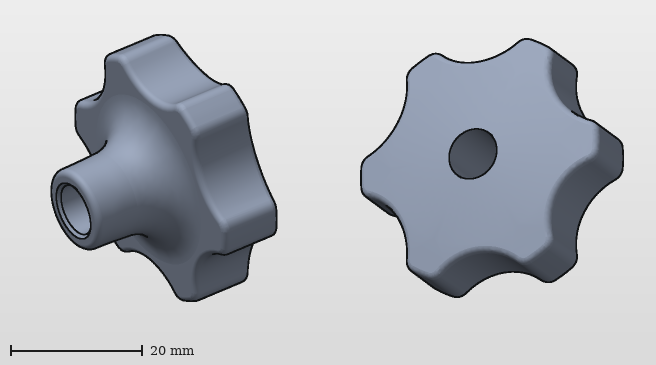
import cadquery as cq
import math

lobe_count = 6
head_radius = 20.0
head_height = 12.0
dome_radius = 99.95
scallop_radius = 10.0
scallop_depth = 4.48
lobe_corner_radius = 2.0
rim_fillet = 1.0

hub_length = 14.0
hub_taper = math.radians(2.0)
flare_radius = 7.0
flare_outer_radius = 13.75
hub_end_fillet = 1.0

bore_radius = 4.0
bore_chamfer = 0.5


def make_head():
    """Domed disc cut by a ring of round scallops, with all edges rounded."""
    edge_height = head_height - dome_radius + math.sqrt(dome_radius**2 - head_radius**2)
    middle_radius = head_radius / 2
    middle_height = head_height - dome_radius + math.sqrt(dome_radius**2 - middle_radius**2)
    disc = (
        cq.Workplane("XY")
        .lineTo(head_radius, 0)
        .lineTo(head_radius, edge_height)
        .threePointArc((middle_radius, middle_height), (0, head_height))
        .close()
        .revolve(360, (0, 0), (0, 1))
    )
    scallop_center = head_radius - scallop_depth + scallop_radius
    scallops = (
        cq.Workplane("XZ")
        .polarArray(scallop_center, 180 / lobe_count, 360, lobe_count)
        .circle(scallop_radius)
        .extrude(-head_height)
    )
    head = disc.cut(scallops)
    head = head.edges("|Y").fillet(lobe_corner_radius)
    head = head.faces("<Y").edges().fillet(rim_fillet)
    return head.faces(">Y").edges().fillet(rim_fillet)


def make_hub():
    """Revolved neck: concave flare, tapered sleeve and rounded end."""
    def flare_point(angle):
        return (
            flare_outer_radius - flare_radius * math.cos(angle),
            -flare_radius + flare_radius * math.sin(angle),
        )

    sleeve_start = flare_point(hub_taper)
    sleeve_length = hub_length + sleeve_start[1]
    end_radius = sleeve_start[0] - sleeve_length * math.tan(hub_taper)
    hub = (
        cq.Workplane("XY")
        .lineTo(0, -hub_length)
        .lineTo(end_radius, -hub_length)
        .lineTo(*sleeve_start)
        .threePointArc(flare_point(math.pi / 4), (flare_outer_radius, 0))
        .close()
        .revolve(360, (0, 0), (0, 1))
    )
    return hub.faces("<Y").edges().fillet(hub_end_fillet)


def make_bore():
    """Cutter for the through bore, with a chamfered mouth at the hub end."""
    mouth_radius = bore_radius + bore_chamfer
    return (
        cq.Workplane("XY")
        .moveTo(0, -hub_length)
        .lineTo(mouth_radius, -hub_length)
        .lineTo(bore_radius, bore_chamfer - hub_length)
        .lineTo(bore_radius, head_height)
        .lineTo(0, head_height)
        .close()
        .revolve(360, (0, 0), (0, 1))
    )


result = make_head().union(make_hub()).cut(make_bore())